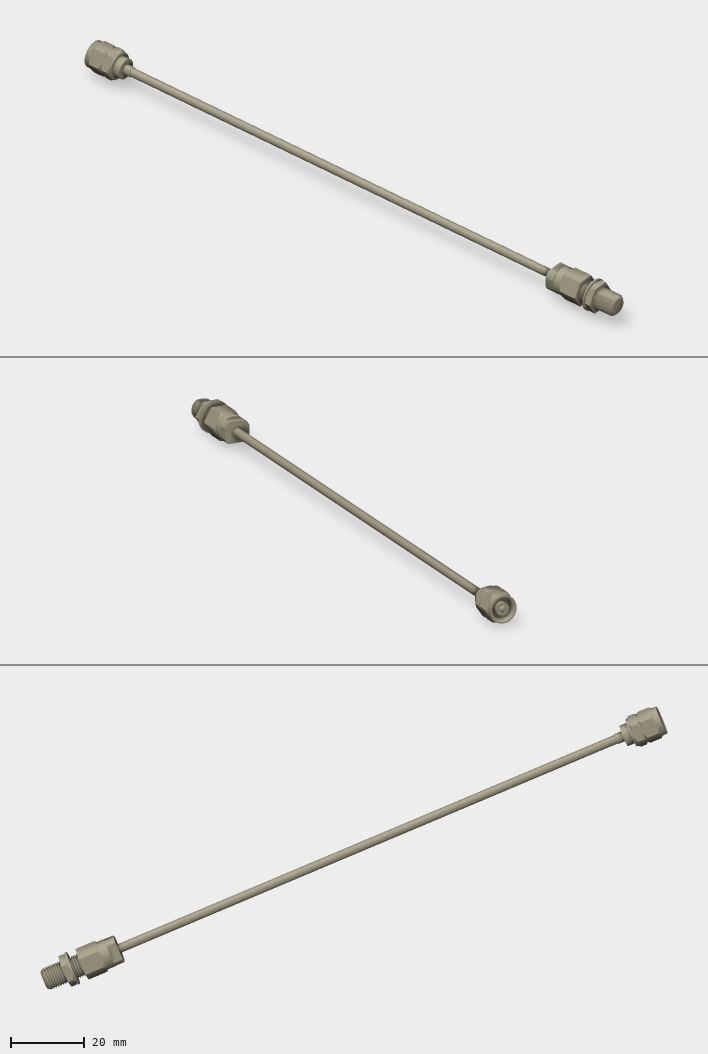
import cadquery as cq
import math

OVERALL_LENGTH = 182.13

HEX_FLATS = 8.0
HEX_CORNERS = HEX_FLATS / math.cos(math.pi / 6)
BARREL_RADIUS = HEX_FLATS / 2
CORNER_CHAMFER = 0.62

NUT_COLLAR_LENGTH = 1.4
NUT_GROOVE_X = 5.75
NUT_SHOULDER_X = 8.55
NUT_END_X = 9.0
FERRULE_RADIUS = 3.0
FERRULE_END_X = 11.2
SLEEVE_RADIUS = 1.45
SLEEVE_END_X = 13.4
BORE_RADIUS = 3.1
BORE_DEPTH = 3.0
BORE_CHAMFER = 0.45
INSULATOR_RADIUS = 1.9
INSULATOR_RECESS = 0.5
PIN_RADIUS = 0.9
PIN_TIP_CHAMFER = 0.4
PIN_RECESS = 0.1

CABLE_RADIUS = 1.25
BAND_START_X = 77.2
BAND_END_X = 96.4

JACK_START_X = 160.0
JACK_FLATS_END_X = 162.5
JACK_BARREL_END_X = 164.9
JACK_HEX_END_X = 170.9
JACK_FLAT_TOP = 3.1
JACK_FLAT_SIDE = 3.7
JACK_BARREL_CHAMFER = 0.2

THREAD_RADIUS = 3.175
THREAD_ROOT_RADIUS = 2.72
THREAD_PITCH = 25.4 / 36
THREAD_CREST = THREAD_PITCH / 8
THREAD_FLAT_HEIGHT = 2.6
THREAD_END_CHAMFER = 0.8

WASHER_START_X = 173.5
WASHER_THICKNESS = 0.5
WASHER_RADIUS = 4.7
MOUNTING_NUT_THICKNESS = 2.0


def cylinder(start, end, radius):
    """Round bar along X."""
    return cq.Workplane("YZ", origin=(start, 0, 0)).circle(radius).extrude(end - start)


def revolved(points):
    """Solid turned about the X axis from (x, radius) points."""
    return cq.Workplane("XY").polyline(points).close().revolve(360, (0, 0, 0), (1, 0, 0))


def hexagon(start, end, chamfer_start=False, chamfer_end=False):
    """Hexagonal bar along X, corners at +Y and -Y, corners coned off at the chosen ends."""
    bar = cq.Workplane("YZ", origin=(start, 0, 0)).polygon(6, HEX_CORNERS).extrude(end - start)
    corner_radius = HEX_CORNERS / 2
    start_radius = BARREL_RADIUS if chamfer_start else corner_radius
    end_radius = BARREL_RADIUS if chamfer_end else corner_radius
    envelope = revolved([
        (start, 0),
        (start, start_radius),
        (start + CORNER_CHAMFER, corner_radius),
        (end - CORNER_CHAMFER, corner_radius),
        (end, end_radius),
        (end, 0),
    ])
    return bar.intersect(envelope)


def make_plug():
    body = cylinder(0, NUT_COLLAR_LENGTH, BARREL_RADIUS)
    body = body.union(hexagon(NUT_COLLAR_LENGTH, NUT_GROOVE_X, True, True))
    body = body.union(hexagon(NUT_GROOVE_X, NUT_SHOULDER_X, True, True))
    body = body.union(cylinder(NUT_SHOULDER_X, NUT_END_X, BARREL_RADIUS))
    body = body.union(cylinder(NUT_END_X, FERRULE_END_X, FERRULE_RADIUS))
    body = body.union(cylinder(FERRULE_END_X, SLEEVE_END_X, SLEEVE_RADIUS))
    body = body.cut(revolved([
        (0, 0),
        (0, BORE_RADIUS + BORE_CHAMFER),
        (BORE_CHAMFER, BORE_RADIUS),
        (BORE_DEPTH, BORE_RADIUS),
        (BORE_DEPTH, 0),
    ]))
    body = body.union(cylinder(INSULATOR_RECESS, BORE_DEPTH, INSULATOR_RADIUS))
    pin = cylinder(PIN_RECESS, BORE_DEPTH, PIN_RADIUS).faces("<X").chamfer(PIN_TIP_CHAMFER)
    return body.union(pin)


def make_cable():
    """One cable whose middle band keeps its own face, flush with the rest."""
    cable = cylinder(SLEEVE_END_X, BAND_START_X, CABLE_RADIUS)
    cable = cable.union(cylinder(BAND_START_X, BAND_END_X, CABLE_RADIUS), clean=False)
    return cable.union(cylinder(BAND_END_X, JACK_START_X, CABLE_RADIUS), clean=False)


def make_flatted_end():
    """Round rear end of the jack with wrench flats on four sides."""
    length = JACK_FLATS_END_X - JACK_START_X
    block = cq.Workplane("YZ", origin=(JACK_START_X, 0, 0))
    block = block.rect(2 * JACK_FLAT_SIDE, 2 * JACK_FLAT_TOP).extrude(length)
    return block.intersect(cylinder(JACK_START_X, JACK_FLATS_END_X, BARREL_RADIUS))


def make_thread():
    """Threaded barrel as a row of V grooves, cut flat along the top."""
    length = OVERALL_LENGTH - JACK_HEX_END_X
    points = [(JACK_HEX_END_X, 0), (JACK_HEX_END_X, THREAD_ROOT_RADIUS)]
    for ridge in range(math.ceil(length / THREAD_PITCH)):
        root_x = JACK_HEX_END_X + ridge * THREAD_PITCH
        crest_x = root_x + THREAD_PITCH / 2
        points.append((crest_x - THREAD_CREST / 2, THREAD_RADIUS))
        points.append((crest_x + THREAD_CREST / 2, THREAD_RADIUS))
        points.append((root_x + THREAD_PITCH, THREAD_ROOT_RADIUS))
    last_x = points[-1][0]
    points.append((last_x, 0))
    envelope = cylinder(JACK_HEX_END_X, OVERALL_LENGTH, THREAD_RADIUS)
    envelope = envelope.faces(">X").chamfer(THREAD_END_CHAMFER)
    barrel = revolved(points).intersect(envelope)
    waste = cq.Workplane("XY", origin=(JACK_HEX_END_X, 0, THREAD_FLAT_HEIGHT))
    waste = waste.rect(2 * length, 2 * THREAD_RADIUS).extrude(THREAD_RADIUS)
    return barrel.cut(waste)


def make_jack():
    barrel = cylinder(JACK_FLATS_END_X, JACK_BARREL_END_X, BARREL_RADIUS)
    barrel = barrel.faces("<X").chamfer(JACK_BARREL_CHAMFER)
    body = make_flatted_end().union(barrel)
    body = body.union(hexagon(JACK_BARREL_END_X, JACK_HEX_END_X, chamfer_start=True))
    return body.union(make_thread())


def make_lock_washer():
    end = WASHER_START_X + WASHER_THICKNESS
    return cylinder(WASHER_START_X, end, WASHER_RADIUS).cut(cylinder(WASHER_START_X, end, THREAD_RADIUS))


def make_mounting_nut():
    start = WASHER_START_X + WASHER_THICKNESS
    end = start + MOUNTING_NUT_THICKNESS
    return hexagon(start, end, chamfer_start=True).cut(cylinder(start, end, THREAD_RADIUS))


plug = make_plug()
cable = make_cable()
jack = make_jack()
lock_washer = make_lock_washer()
mounting_nut = make_mounting_nut()

result = cq.Compound.makeCompound([
    plug.val(),
    cable.val(),
    jack.val(),
    lock_washer.val(),
    mounting_nut.val(),
])